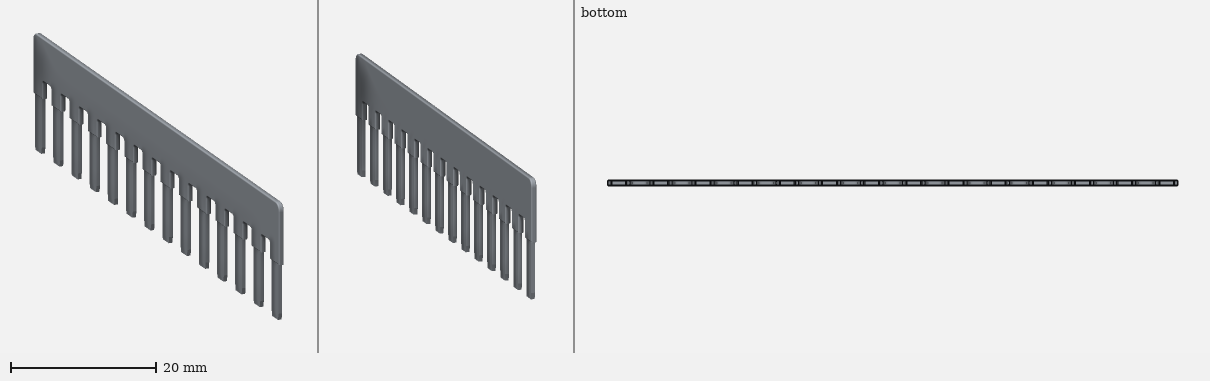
import cadquery as cq

length = 78.5
thickness = 0.8
height = 17.1

tooth_count = 14
tooth_width = 3.1
tooth_pitch = (length - tooth_width) / (tooth_count - 1)

strip_height = 8.95
back_height = 6.3
strip_corner_radius = 1.2
gap_corner_radius = 0.4
edge_round = 0.2

pin_width = 2.2
pin_thickness = 0.55
pin_tip_width = 1.9
pin_tip_length = 0.95

strip_bottom = height - strip_height
tooth_centers = [(i - (tooth_count - 1) / 2) * tooth_pitch for i in range(tooth_count)]


def make_strip():
    """Strip with rounded top corners, gaps between the teeth and rounded face edges."""
    gap_width = tooth_pitch - tooth_width
    gap_height = strip_height - back_height
    strip = (
        cq.Workplane("XZ")
        .center(0, strip_bottom + strip_height / 2)
        .rect(length, strip_height)
        .extrude(thickness / 2, both=True)
        .edges("|Y and >Z")
        .fillet(strip_corner_radius)
    )
    cutter_height = 2 * gap_height
    gap_centers = [(x + tooth_pitch / 2, 0) for x in tooth_centers[:-1]]
    gaps = (
        cq.Workplane("XZ")
        .center(0, strip_bottom)
        .pushPoints(gap_centers)
        .rect(gap_width, cutter_height)
        .extrude(thickness / 2, both=True)
        .edges("|Y")
        .fillet(gap_corner_radius)
    )
    return strip.cut(gaps).faces("<Y or >Y").edges().fillet(edge_round)


def make_pin(center_x):
    """Flat pin that tapers at its tip."""
    half_width = pin_width / 2
    half_tip = pin_tip_width / 2
    pin_top = strip_bottom + edge_round
    outline = [
        (-half_width, pin_top),
        (-half_width, pin_tip_length),
        (-half_tip, 0),
        (half_tip, 0),
        (half_width, pin_tip_length),
        (half_width, pin_top),
    ]
    return (
        cq.Workplane("XZ")
        .center(center_x, 0)
        .polyline(outline)
        .close()
        .extrude(pin_thickness / 2, both=True)
    )


result = make_strip()
for center_x in tooth_centers:
    result = result.union(make_pin(center_x))